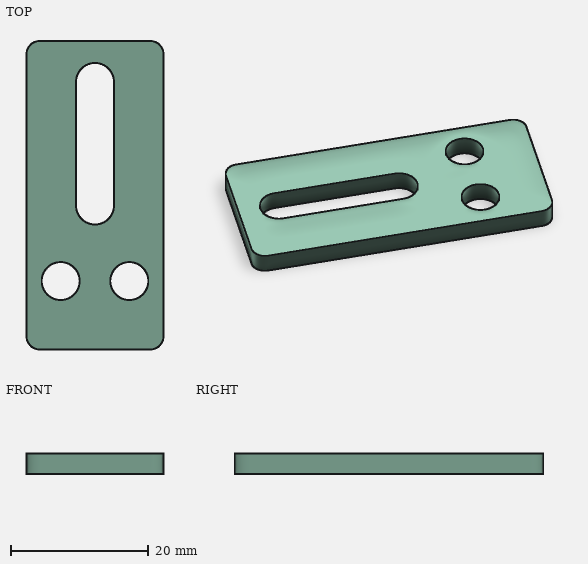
import cadquery as cq

width = 20.0
length = 45.0
thickness = 3.0
corner_radius = 2.0

hole_diameter = 5.5

hole_spacing = 10.0
hole_edge_distance = 10.0
hole_y = -length / 2 + hole_edge_distance

slot_travel = 18.0
slot_edge_distance = 6.0
slot_length = slot_travel + hole_diameter
slot_y = length / 2 - slot_edge_distance - slot_travel / 2


def make_plate():
    """Flat rectangular plate with rounded vertical corners."""
    plate = cq.Workplane("XY").box(width, length, thickness, centered=(True, True, False))
    return plate.edges("|Z").fillet(corner_radius)


def cut_slot(body):
    """Adjustment slot through the plate, lengthwise on the centreline."""
    slot = cq.Workplane("XY").center(0, slot_y).slot2D(slot_length, hole_diameter, 90)
    return body.cut(slot.extrude(thickness))


def cut_holes(body):
    """Pair of through holes, mirrored about the centreline."""
    centres = [(side * hole_spacing / 2, hole_y) for side in (-1, 1)]
    holes = cq.Workplane("XY").pushPoints(centres).circle(hole_diameter / 2)
    return body.cut(holes.extrude(thickness))


result = cut_holes(cut_slot(make_plate()))